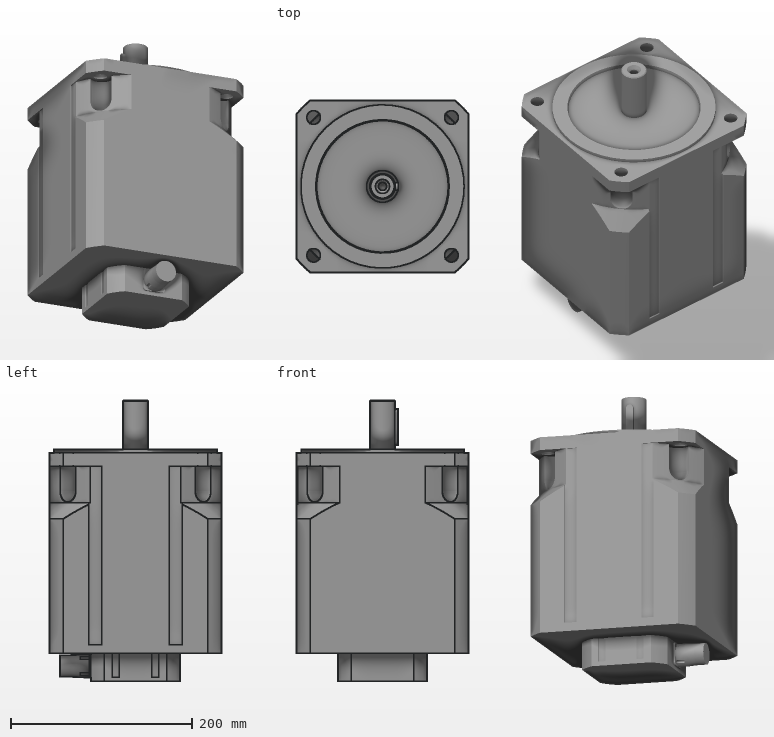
import cadquery as cq
import math

SHAFT_LENGTH = 58.0
TOTAL_LENGTH = 310.0

BODY_SIZE = 190.0
BODY_CORNER_R = 124.0
BODY_LENGTH = 221.0
FLANGE_THICKNESS = 14.5

PILOT_DIA = 180.0
PILOT_HEIGHT = 4.0
RECESS_DIA = 147.0
RECESS_FLOOR_DIA = 145.0
RECESS_DEPTH = 4.0
RECESS_FLOOR_Z = PILOT_HEIGHT - RECESS_DEPTH

BOLT_PITCH = 152.0
BOLT_HOLE_DIA = 15.0
CORNER_WALL_R = 106.0
CORNER_WALL_END_Z = -54.7
RELIEF_PITCH = 145.2
RELIEF_DIA = 25.0
RELIEF_STRAIGHT_END_Z = -42.0

BODY_GROOVE_DEPTH = 1.5
BODY_GROOVE_WIDTH = 14.0
BODY_GROOVE_Y = 44.3
BODY_GROOVE_END_GAP = 9.5

COVER_SIZE = 98.5
COVER_CORNER_R = 60.0
COVER_LENGTH = TOTAL_LENGTH - SHAFT_LENGTH - BODY_LENGTH
COVER_GROOVE_DEPTH = 1.0
COVER_GROOVE_WIDTH = 8.0
COVER_GROOVE_Y = 21.8
COVER_GROOVE_LENGTH = 26.3

CONNECTOR_DROP = 13.9
CONNECTOR_TIP_DIA = 24.0
CONNECTOR_BASE_DIA = 25.5
CONNECTOR_PLATE_SIZE = 25.5
CONNECTOR_PLATE_CORNER_R = 3.4
CONNECTOR_PLATE_THICKNESS = 2.0
CONNECTOR_BASE_LENGTH = 9.8
CONNECTOR_TAPER_LENGTH = 11.7
CONNECTOR_TIP_LENGTH = 10.7
SCREW_PITCH = 19.0
SCREW_FLUTE_DIA = 4.2

SHAFT_DIA = 28.0
SHAFT_CHAMFER = 1.0
SEAT_DIA = 35.0
SEAT_DEPTH = FLANGE_THICKNESS
CENTRE_HOLE_DIA = 9.0
CENTRE_HOLE_DEPTH = 22.0
COUNTERSINK_DIA = 15.5
COUNTERSINK_DEPTH = 4.0
DRILL_POINT_ANGLE = 118.0

KEY_WIDTH = 8.0
KEY_HEIGHT = 7.0
KEY_LENGTH = 40.0
KEY_START_Z = 8.5
KEY_TOP_X = 17.2

BODY_REAR_Z = -BODY_LENGTH


def turned_square(size, corner_radius, z_top, length):
    """Square prism hanging down from z_top, its corners cut round by a cylinder."""
    prism = cq.Workplane("XY").workplane(offset=z_top).rect(size, size).extrude(-length)
    cylinder = cq.Workplane("XY").workplane(offset=z_top).circle(corner_radius).extrude(-length)
    return prism.intersect(cylinder)


def side_groove(side_x, depth, y, width, z_top, length):
    """Cutter for a flat groove with its open side at x = side_x, on either X side."""
    return (
        cq.Workplane("XY")
        .box(2 * depth, width, length)
        .translate((side_x, y, z_top - length / 2))
    )


def corner_clearance():
    """Ring outside the turned wall, ending in a 45 degree cone that runs out of the corners."""
    outer = BODY_SIZE
    run_out = outer - CORNER_WALL_R
    return (
        cq.Workplane("XZ")
        .moveTo(CORNER_WALL_R, -FLANGE_THICKNESS)
        .lineTo(outer, -FLANGE_THICKNESS)
        .lineTo(outer, CORNER_WALL_END_Z - run_out)
        .lineTo(CORNER_WALL_R, CORNER_WALL_END_Z)
        .close()
        .revolve(360, (0, 0, 0), (0, 1, 0))
    )


def bolt_relief():
    """Cutter with a half-ball end that clears one bolt head."""
    radius = RELIEF_DIA / 2
    return (
        cq.Workplane("XZ")
        .moveTo(0, -FLANGE_THICKNESS)
        .lineTo(radius, -FLANGE_THICKNESS)
        .lineTo(radius, RELIEF_STRAIGHT_END_Z)
        .radiusArc((0, RELIEF_STRAIGHT_END_Z - radius), radius)
        .close()
        .revolve(360, (0, 0, 0), (0, 1, 0))
    )


def connector():
    """Plug with a plate on the cover, a fluted base, a taper and a plain tip, along +Y."""
    plate_start = COVER_SIZE / 2
    base_start = plate_start + CONNECTOR_PLATE_THICKNESS
    taper_start = base_start + CONNECTOR_BASE_LENGTH
    tip_start = taper_start + CONNECTOR_TAPER_LENGTH
    tip_end = tip_start + CONNECTOR_TIP_LENGTH
    barrel = (
        cq.Workplane("XY")
        .moveTo(0, plate_start)
        .lineTo(CONNECTOR_BASE_DIA / 2, plate_start)
        .lineTo(CONNECTOR_BASE_DIA / 2, taper_start)
        .lineTo(CONNECTOR_TIP_DIA / 2, tip_start)
        .lineTo(CONNECTOR_TIP_DIA / 2, tip_end)
        .lineTo(0, tip_end)
        .close()
        .revolve(360, (0, 0, 0), (0, 1, 0))
    )
    flutes = (
        cq.Workplane("XZ", origin=(0, base_start, 0))
        .rect(SCREW_PITCH, SCREW_PITCH, forConstruction=True)
        .vertices()
        .circle(SCREW_FLUTE_DIA / 2)
        .extrude(-CONNECTOR_BASE_LENGTH)
    )
    plate = (
        cq.Workplane("XZ", origin=(0, plate_start, 0))
        .rect(CONNECTOR_PLATE_SIZE, CONNECTOR_PLATE_SIZE)
        .extrude(-CONNECTOR_PLATE_THICKNESS)
        .edges("|Y")
        .fillet(CONNECTOR_PLATE_CORNER_R)
    )
    return barrel.cut(flutes).union(plate).translate((0, 0, BODY_REAR_Z - CONNECTOR_DROP))


def build_key():
    """Parallel key with round ends."""
    return (
        cq.Workplane("YZ", origin=(KEY_TOP_X - KEY_HEIGHT, 0, KEY_START_Z + KEY_LENGTH / 2))
        .slot2D(KEY_LENGTH, KEY_WIDTH, 90)
        .extrude(KEY_HEIGHT)
    )


def centre_hole():
    """Cutter for the countersunk centre hole with its drill point."""
    radius = CENTRE_HOLE_DIA / 2
    point_depth = radius / math.tan(math.radians(DRILL_POINT_ANGLE / 2))
    hole_end_z = SHAFT_LENGTH - CENTRE_HOLE_DEPTH
    return (
        cq.Workplane("XZ")
        .moveTo(0, SHAFT_LENGTH)
        .lineTo(COUNTERSINK_DIA / 2, SHAFT_LENGTH)
        .lineTo(radius, SHAFT_LENGTH - COUNTERSINK_DEPTH)
        .lineTo(radius, hole_end_z)
        .lineTo(0, hole_end_z - point_depth)
        .close()
        .revolve(360, (0, 0, 0), (0, 1, 0))
    )


def shaft_blank():
    """Plain shaft standing on its wider seat, whose face is flush with the recess floor."""
    seat = cq.Workplane("XY").workplane(offset=RECESS_FLOOR_Z).circle(SEAT_DIA / 2).extrude(-SEAT_DEPTH)
    stem = (
        cq.Workplane("XY")
        .workplane(offset=RECESS_FLOOR_Z)
        .circle(SHAFT_DIA / 2)
        .extrude(SHAFT_LENGTH - RECESS_FLOOR_Z)
        .faces(">Z")
        .chamfer(SHAFT_CHAMFER)
    )
    return seat.union(stem)


def build_shaft(key):
    return shaft_blank().cut(centre_hole()).cut(key)


def build_housing():
    body = turned_square(BODY_SIZE, BODY_CORNER_R, 0, BODY_LENGTH)
    body = body.cut(corner_clearance())

    groove_length = BODY_LENGTH - FLANGE_THICKNESS - BODY_GROOVE_END_GAP
    for side in (-1, 1):
        for y in (-BODY_GROOVE_Y, BODY_GROOVE_Y):
            body = body.cut(
                side_groove(side * BODY_SIZE / 2, BODY_GROOVE_DEPTH, y, BODY_GROOVE_WIDTH,
                            -FLANGE_THICKNESS, groove_length)
            )

    hole = cq.Workplane("XY").circle(BOLT_HOLE_DIA / 2).extrude(-FLANGE_THICKNESS)
    relief = bolt_relief()
    for x_side in (-1, 1):
        for y_side in (-1, 1):
            hole_x = x_side * BOLT_PITCH / 2
            hole_y = y_side * BOLT_PITCH / 2
            relief_x = x_side * RELIEF_PITCH / 2
            relief_y = y_side * RELIEF_PITCH / 2
            body = body.cut(hole.translate((hole_x, hole_y, 0)))
            body = body.cut(relief.translate((relief_x, relief_y, 0)))

    pilot = cq.Workplane("XY").circle(PILOT_DIA / 2).extrude(PILOT_HEIGHT)
    recess = (
        cq.Workplane("XY")
        .workplane(offset=RECESS_FLOOR_Z)
        .circle(RECESS_FLOOR_DIA / 2)
        .workplane(offset=RECESS_DEPTH)
        .circle(RECESS_DIA / 2)
        .loft()
    )
    body = body.union(pilot).cut(recess)

    cover = turned_square(COVER_SIZE, COVER_CORNER_R, BODY_REAR_Z, COVER_LENGTH)
    for side in (-1, 1):
        for y in (-COVER_GROOVE_Y, COVER_GROOVE_Y):
            cover = cover.cut(
                side_groove(side * COVER_SIZE / 2, COVER_GROOVE_DEPTH, y, COVER_GROOVE_WIDTH,
                            BODY_REAR_Z, COVER_GROOVE_LENGTH)
            )

    return body.union(cover).union(connector()).cut(shaft_blank())


key = build_key()
shaft = build_shaft(key)
housing = build_housing()

result = cq.Compound.makeCompound([housing.val(), shaft.val(), key.val()])